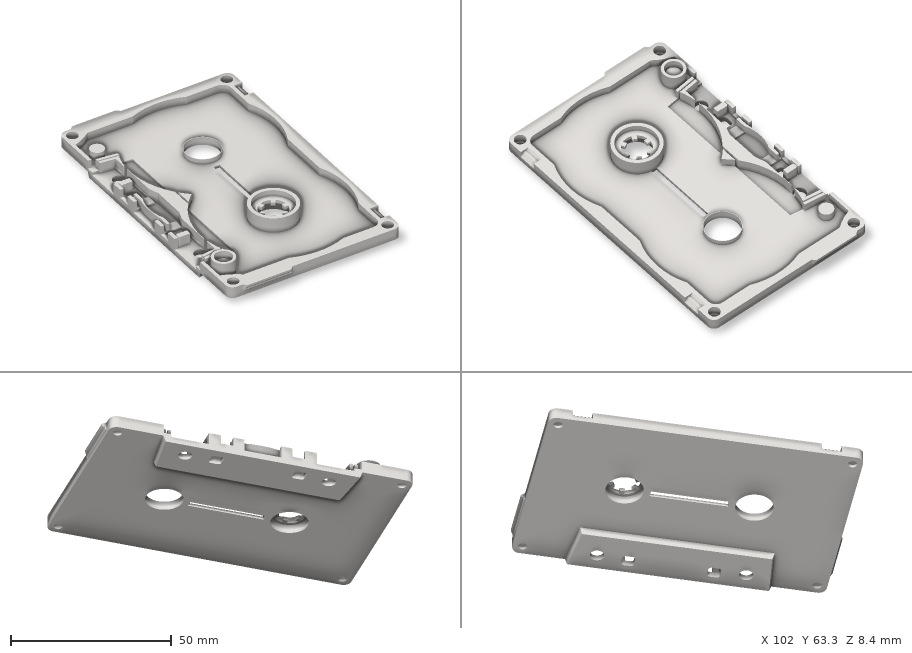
import cadquery as cq
import math

overall_width = 102.0
shell_width = 99.8
shell_depth = 63.3
rim_height = 4.1
floor_height = 1.0
corner_radius = 2.5
half_depth = shell_depth / 2

reel_x = 20.6
reel_y = 3.0
reel_clearance_radius = 26.7
collar_diameter = 12.3
hub_hole_diameter = 12.0
collar_top = 3.0
hub_top = 6.4

cavity_half_width = 45.4
cavity_back = 27.1
cavity_front = -30.4
cavity_corner_radius = 3.1
screw_boss_side_y = -23.8
screw_boss_front_x = 41.9
screw_boss_bulge_x = 43.4
screw_boss_bulge_y = -26.9

screw_x = 46.7
screw_y = 28.5
screw_hole_diameter = 2.9
screw_counterbore_diameter = 4.0
screw_counterbore_depth = 3.1

grip_reach = (overall_width - shell_width) / 2
grip_front = -27.0
grip_back = -8.6
grip_height = 2.5
grip_step_reach = 0.4
grip_step_height = 0.7

tab_x = 39.5
tab_width = 6.3
tab_crest = 28.5
tab_step_start = 29.6
tab_step_end = 30.3
tab_step_rise = 0.2

window_half_length = 12.4
window_width = 2.1

bump_depth = 2.0
bump_wall = 0.7
recess_back = -17.1
recess_back_half_width = 29.5
recess_front_half_width = 31.3
recess_mouth_half_width = 30.1
rim_gap_clearance = 1.3

bay_wall_gap = 0.7
guide_gap = 0.5
guide_thickness = 1.0
guide_front = -29.3
guide_back = -21.7
bay_back = -23.9
bay_centre_back = -22.6
tape_gap_x = 23.2
tape_gap_width = 1.8
ledge_depth = 0.2
ledge_outside = 29.2
ledge_gap_outside = 24.6
ledge_gap_inside = 20.6
locating_hole_x = 23.7
locating_hole_y = -25.9
locating_hole_diameter = 4.5
capstan_hole_x = 13.7
capstan_hole_y = -26.6
capstan_hole_side = 4.2
capstan_hole_radius = 1.0

inner_post_inside = 6.0
inner_post_outside = 9.7
outer_post_inside = 13.9
outer_post_outside = 17.7
block_back = -25.9
block_front = -30.1
block_width = 2.0
block_corner_radius = 0.6

spring_back = -28.4
spring_end_thickness = 1.0
spring_middle_back = -29.7
spring_middle_thickness = 0.3

roller_x = 36.7
roller_y = -25.7
pin_diameter = 5.0
roller_diameter = 8.0
roller_bore = 6.0

hub_diameter = 16.6
hub_recess_diameter = 14.1
hub_recess_depth = 2.2
hub_bore = 10.0
tooth_count = 6
tooth_width = 1.6
tooth_tip_radius = 3.6
tooth_root = 0.3
clip_half_width = 4.3

SIDES = (-1, 1)


def box(x_min, x_max, y_min, y_max, z_min, z_max):
    """Block between the given limits; the X limits may come in either order."""
    return (
        cq.Workplane("XY")
        .box(abs(x_max - x_min), y_max - y_min, z_max - z_min, centered=False)
        .translate((min(x_min, x_max), y_min, z_min))
    )


def cylinder(x, y, diameter, z_min, z_max):
    return cq.Workplane("XY", origin=(x, y, z_min)).circle(diameter / 2).extrude(z_max - z_min)


def prism(points, z_min, z_max):
    return cq.Workplane("XY", origin=(0, 0, z_min)).polyline(points).close().extrude(z_max - z_min)


def recess_half_width(y):
    """Half width of the tapering recess at depth y."""
    slope = (recess_back_half_width - recess_front_half_width) / (recess_back + half_depth)
    return recess_back_half_width + slope * (y - recess_back)


def trapezoid(y_front, y_back, offset):
    """Outline parallel to the sides of the recess, moved outward by offset."""
    front = recess_half_width(y_front) + offset
    back = recess_half_width(y_back) + offset
    return [(-front, y_front), (front, y_front), (back, y_back), (-back, y_back)]


def reel_clearance(z_min, z_max):
    """The two overlapping round spaces swept by the tape packs."""
    left, right = (cylinder(side * reel_x, reel_y, 2 * reel_clearance_radius, z_min, z_max) for side in SIDES)
    return left.union(right)


def shell_cavity():
    """Space inside the rim, rounded at the back and curving past the screw bosses at the front."""
    arc_start_x = cavity_half_width - cavity_corner_radius
    arc_start_y = cavity_back - cavity_corner_radius
    arc_middle_x = arc_start_x + cavity_corner_radius * math.sqrt(0.5)
    arc_middle_y = arc_start_y + cavity_corner_radius * math.sqrt(0.5)
    outline = (
        cq.Workplane("XY", origin=(0, 0, floor_height))
        .moveTo(-screw_boss_front_x, cavity_front)
        .lineTo(screw_boss_front_x, cavity_front)
        .threePointArc((screw_boss_bulge_x, screw_boss_bulge_y), (cavity_half_width, screw_boss_side_y))
        .lineTo(cavity_half_width, arc_start_y)
        .threePointArc((arc_middle_x, arc_middle_y), (arc_start_x, cavity_back))
        .lineTo(-arc_start_x, cavity_back)
        .threePointArc((-arc_middle_x, arc_middle_y), (-cavity_half_width, arc_start_y))
        .lineTo(-cavity_half_width, screw_boss_side_y)
        .threePointArc((-screw_boss_bulge_x, screw_boss_bulge_y), (-screw_boss_front_x, cavity_front))
        .close()
        .extrude(rim_height - floor_height)
    )
    return outline.union(reel_clearance(floor_height, rim_height))


def side_grip(side):
    """Ridge on a short side, full width at the top and stepping in to nothing below."""
    wall = side * shell_width / 2
    edge = side * (shell_width / 2 + grip_reach)
    step = wall + side * grip_step_reach
    bottom = rim_height - grip_height
    profile = [
        (wall, bottom),
        (step, bottom + grip_step_reach),
        (step, bottom + grip_step_reach + grip_step_height),
        (edge, bottom + grip_reach + grip_step_height),
        (edge, rim_height),
        (wall, rim_height),
    ]
    ridge = (
        cq.Workplane("XZ", origin=(0, grip_back, 0)).polyline(profile).close().extrude(grip_back - grip_front)
    )
    plan = [
        (wall, grip_front),
        (edge, grip_front + grip_reach),
        (edge, grip_back - grip_reach),
        (wall, grip_back),
    ]
    return ridge.intersect(prism(plan, 0, rim_height))


def head_bump():
    return (
        cq.Workplane("XY")
        .polyline(trapezoid(-half_depth, recess_back + bump_wall, 2 * bump_wall))
        .close()
        .workplane(offset=-bump_depth)
        .polyline(trapezoid(-half_depth, recess_back, bump_wall))
        .close()
        .loft(ruled=True)
    )


def head_recess():
    """Lowered floor inside the bump, narrowed to a straight-sided mouth at the front."""
    wide = prism(trapezoid(guide_front, recess_back, 0), 0, rim_height)
    mouth = box(-recess_mouth_half_width, recess_mouth_half_width, -half_depth, guide_front, 0, rim_height)
    return wide.union(mouth)


def bay_wall():
    """Wall around the head bay, between the tape packs and the bay."""
    block = prism(trapezoid(guide_front, recess_back - bay_wall_gap, -guide_gap), 0, rim_height)
    inset = -guide_gap - guide_thickness
    front = recess_half_width(guide_front) + inset
    back = recess_half_width(bay_back) + inset
    bay = [
        (-front, guide_front),
        (front, guide_front),
        (back, bay_back),
        (inner_post_outside, bay_back),
        (inner_post_inside, bay_centre_back),
        (-inner_post_inside, bay_centre_back),
        (-inner_post_outside, bay_back),
        (-back, bay_back),
    ]
    wall = block.cut(prism(bay, 0, rim_height)).cut(reel_clearance(0, rim_height))
    for side in SIDES:
        edge = side * tape_gap_x - tape_gap_width / 2
        wall = wall.cut(box(edge, edge + tape_gap_width, bay_back, bay_back + guide_thickness, 0, rim_height))
        for outside, inside in ((ledge_outside, ledge_gap_outside), (ledge_gap_inside, inner_post_outside)):
            ledge = box(side * outside, side * inside, bay_back - ledge_depth, bay_back, 0, floor_height)
            wall = wall.union(ledge)
    return wall


def wedge():
    """Pointed rest between the two tape packs, behind the recess."""
    tip = reel_y - math.sqrt(reel_clearance_radius**2 - reel_x**2)
    return box(-reel_x, reel_x, recess_back, tip, 0, rim_height).cut(reel_clearance(0, rim_height))


def outer_guide(side):
    """Slanted wall just outside the recess."""
    points = [
        (side * recess_half_width(guide_front), guide_front),
        (side * (recess_half_width(guide_front) + guide_thickness), guide_front),
        (side * (recess_half_width(guide_back) + guide_thickness), guide_back),
        (side * recess_half_width(guide_back), guide_back),
    ]
    return prism(points, 0, rim_height)


def mouth_posts(side):
    """Posts and ledges that carry the pressure spring on one side of the bay."""
    inner = side * inner_post_inside
    outer = side * inner_post_outside
    far_inner = side * outer_post_inside
    far_outer = side * outer_post_outside
    block_inside = side * (outer_post_outside - block_width)
    posts = box(inner, outer, -half_depth, cavity_front, 0, rim_height)
    posts = posts.union(box(inner, outer, -half_depth, bay_back, 0, floor_height))
    posts = posts.union(box(inner, far_outer, -half_depth, cavity_front, 0, floor_height))
    posts = posts.union(box(far_inner, far_outer, -half_depth, cavity_front, 0, rim_height))
    block = box(far_outer, block_inside, block_front, block_back, 0, rim_height)
    return posts.union(block.edges("|Z and <Y").fillet(block_corner_radius))


def screw_hole(side, end):
    """Counterbored through hole in one corner."""
    x = side * screw_x
    y = end * screw_y
    hole = cylinder(x, y, screw_hole_diameter, 0, rim_height)
    return hole.union(
        cylinder(x, y, screw_counterbore_diameter, rim_height - screw_counterbore_depth, rim_height)
    )


def tab_notch(side):
    """Notch in the back edge: a 45 degree slope, a small raised level step and a second slope."""
    groove_height = rim_height - (tab_step_start - tab_crest)
    step_height = groove_height + tab_step_rise
    edge_height = step_height - (half_depth - tab_step_end)
    profile = [
        (tab_crest, rim_height),
        (tab_step_start, groove_height),
        (tab_step_start, step_height),
        (tab_step_end, step_height),
        (half_depth, edge_height),
        (half_depth, rim_height),
    ]
    left = side * tab_x - tab_width / 2
    return cq.Workplane("YZ", origin=(left, 0, 0)).polyline(profile).close().extrude(tab_width)


def bay_holes(side):
    """Round locating hole and rounded square capstan hole through the bay floor."""
    locating_x = side * locating_hole_x
    locating = cylinder(locating_x, locating_hole_y, locating_hole_diameter, -bump_depth, rim_height)
    capstan = (
        cq.Workplane("XY", origin=(side * capstan_hole_x, capstan_hole_y, -bump_depth))
        .rect(capstan_hole_side, capstan_hole_side)
        .extrude(bump_depth + rim_height)
        .edges("|Z")
        .fillet(capstan_hole_radius)
    )
    return locating.union(capstan)


def reel_window():
    front = reel_y - window_width / 2
    return box(-window_half_length, window_half_length, front, front + window_width, 0, floor_height)


def build_shell():
    shell = box(-shell_width / 2, shell_width / 2, -half_depth, half_depth, 0, rim_height)
    shell = shell.edges("|Z").fillet(corner_radius)
    shell = shell.cut(shell_cavity())
    rim_gap = trapezoid(-half_depth, cavity_front, rim_gap_clearance)
    shell = shell.cut(prism(rim_gap, floor_height, rim_height))
    shell = shell.union(head_bump()).cut(head_recess())
    shell = shell.union(bay_wall()).union(wedge())
    for side in SIDES:
        shell = shell.union(side_grip(side)).union(outer_guide(side)).union(mouth_posts(side))
        shell = shell.union(cylinder(side * roller_x, roller_y, pin_diameter, 0, rim_height))
        shell = shell.union(cylinder(side * reel_x, reel_y, collar_diameter, 0, collar_top))
        shell = shell.cut(cylinder(side * reel_x, reel_y, hub_hole_diameter, 0, collar_top))
        shell = shell.cut(bay_holes(side)).cut(tab_notch(side))
        for end in SIDES:
            shell = shell.cut(screw_hole(side, end))
    return shell.cut(reel_window())


def clip_space():
    """Straight-sided gap in the hub ring, on its back side."""
    left = reel_x - clip_half_width
    right = reel_x + clip_half_width
    return box(left, right, reel_y, reel_y + hub_diameter, floor_height, hub_top)


def hub_ring():
    ring = cylinder(reel_x, reel_y, hub_diameter, floor_height, hub_top)
    return ring.cut(cylinder(reel_x, reel_y, hub_recess_diameter, floor_height, hub_top))


def build_hub():
    web_top = hub_top - hub_recess_depth
    hub = hub_ring().cut(clip_space())
    hub = hub.union(cylinder(reel_x, reel_y, hub_recess_diameter, collar_top, web_top))
    hub = hub.cut(cylinder(reel_x, reel_y, hub_bore, collar_top, web_top))
    for index in range(tooth_count):
        root_radius = hub_bore / 2 + tooth_root
        tooth = box(-tooth_width / 2, tooth_width / 2, tooth_tip_radius, root_radius, collar_top, web_top)
        tooth = tooth.rotate((0, 0, 0), (0, 0, 1), index * 360 / tooth_count)
        hub = hub.union(tooth.translate((reel_x, reel_y, 0)))
    return hub


def build_clip():
    return hub_ring().intersect(clip_space())


def build_roller():
    sleeve = cylinder(roller_x, roller_y, roller_diameter, floor_height, hub_top)
    return sleeve.cut(cylinder(roller_x, roller_y, roller_bore, floor_height, hub_top))


def build_spring():
    """Bar with thick ends that bows forward to a thin middle."""
    spring_front = spring_back - spring_end_thickness
    return (
        cq.Workplane("XY", origin=(0, 0, floor_height))
        .moveTo(-inner_post_outside, spring_front)
        .lineTo(-inner_post_inside, spring_front)
        .threePointArc((0, spring_middle_back - spring_middle_thickness), (inner_post_inside, spring_front))
        .lineTo(inner_post_outside, spring_front)
        .lineTo(inner_post_outside, spring_back)
        .lineTo(inner_post_inside, spring_back)
        .threePointArc((0, spring_middle_back), (-inner_post_inside, spring_back))
        .lineTo(-inner_post_outside, spring_back)
        .close()
        .extrude(rim_height - floor_height)
    )


shell = build_shell()
hub = build_hub()
clip = build_clip()
roller = build_roller()
spring = build_spring()
bodies = [shell, hub, clip, roller, spring]
result = cq.Compound.makeCompound([body.solids().val() for body in bodies])